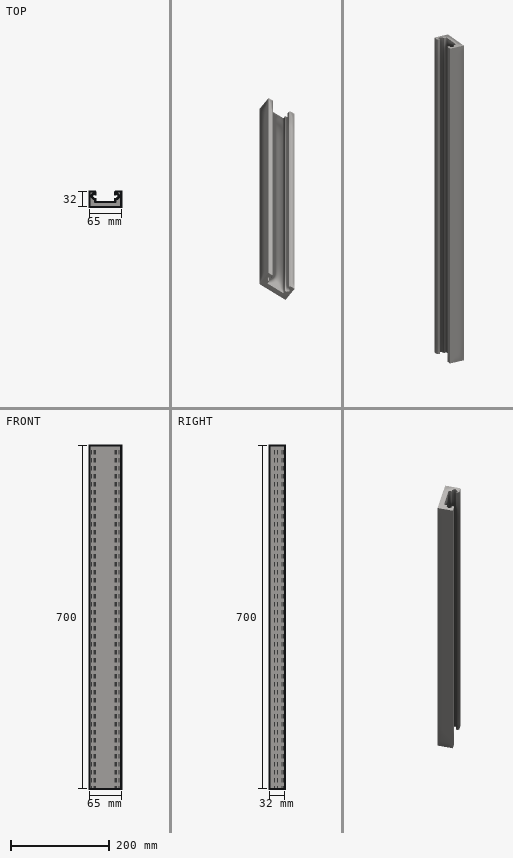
import cadquery as cq
import math

length = 700.0
width = 65.0
height = 32.0

floor_thickness = 10.5
wall_thickness = 12.5
shoulder_height = 17.0

groove_web = 5.0
groove_center_height = 22.5
groove_radius = 3.0

lip_chamfer = 2.0
lip_root_inset = 10.5
hook_drop = 3.5

half_width = width / 2
mouth_x = half_width - wall_thickness
groove_bottom_x = half_width - groove_web
arc_half_chord = groove_radius * math.sin(math.radians(45))
arc_end_x = groove_bottom_x - groove_radius + arc_half_chord
arc_low = groove_center_height - arc_half_chord
arc_high = groove_center_height + arc_half_chord

shoulder_x = arc_end_x - (arc_low - shoulder_height)
lip_root_x = half_width - lip_root_inset
lip_root_height = arc_high + (arc_end_x - lip_root_x)
hook_tip = lip_root_height - hook_drop


def wall(side):
    """One full-height wall with its groove and lip; side is +1 or -1."""
    return (
        cq.Workplane("XY")
        .moveTo(side * mouth_x, 0)
        .lineTo(side * half_width, 0)
        .lineTo(side * half_width, height)
        .lineTo(side * (mouth_x + lip_chamfer), height)
        .lineTo(side * mouth_x, height - lip_chamfer)
        .lineTo(side * mouth_x, hook_tip)
        .lineTo(side * lip_root_x, lip_root_height)
        .lineTo(side * arc_end_x, arc_high)
        .threePointArc(
            (side * groove_bottom_x, groove_center_height),
            (side * arc_end_x, arc_low),
        )
        .lineTo(side * shoulder_x, shoulder_height)
        .lineTo(side * mouth_x, shoulder_height)
        .close()
        .extrude(length)
    )


base = cq.Workplane("XY").box(width, floor_thickness, length, centered=(True, False, False))
channel = base.union(wall(-1)).union(wall(1)).clean()

result = channel.translate((0, -height / 2, 0))